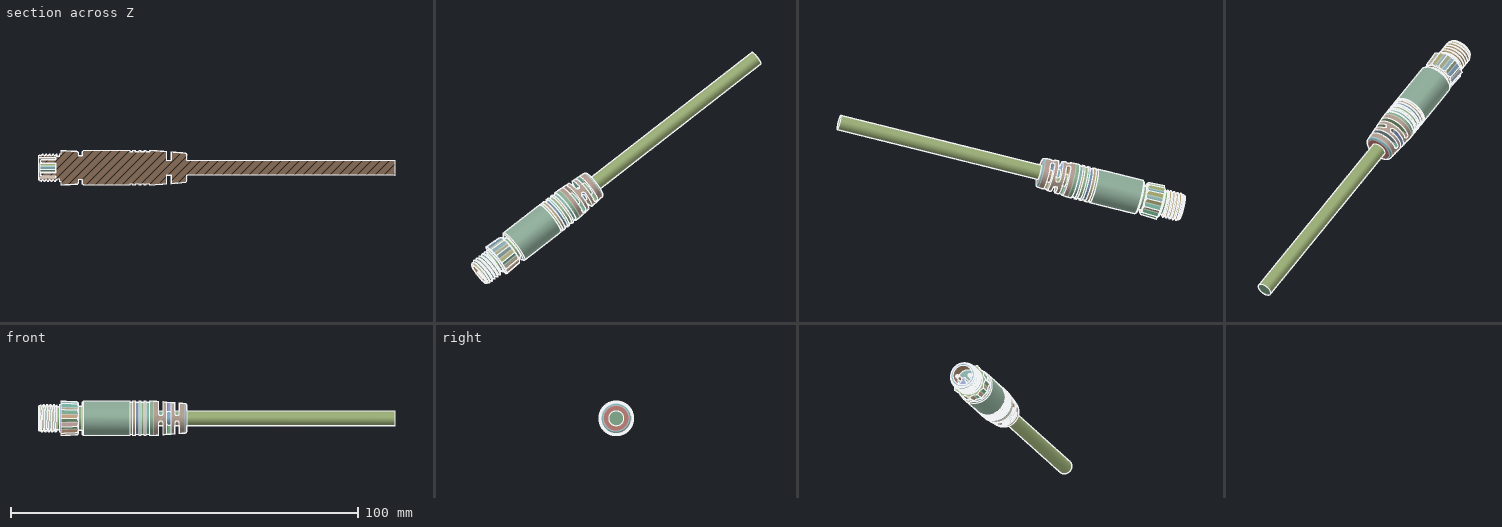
import cadquery as cq
import math

EPS = 0.5

total_length = 102.7
cable_radius = 2.15

thread_radius = 4.0
thread_pitch = 1.0
thread_root_radius = 3.4
thread_groove_width = 0.88
groove_overshoot = 0.05
groove_start = -2.0
thread_end = 5.3
thread_start_angle = 180.0
tip_radius = 3.5
tip_chamfer_length = 1.0
relief_radius = 3.35
collar_start = 6.05

nut_start = 6.5
nut_end = 11.6
nut_chamfer_length = 0.6
nut_chamfer_depth = 0.7
nut_tip_radius = 5.0
nut_taper_angle = 2.5
nut_valley_radius = 4.5
nut_teeth = 12
neck_radius = 3.5

grip_start = 12.6
grip_radius = 5.0
grip_chamfer = 0.4
step_start = 26.4
step_end = 27.05
step_depth = 0.3
first_groove_start = 27.95
groove_pitch = 1.55
groove_count = 3
groove_width = 0.95
groove_depth = 0.3
taper_start = 33.2
grip_end = 42.75
grip_end_radius = 4.25
grip_end_fillet = 0.6

slot_width = 1.25
slot_first_centre = 35.25
slot_pitch = 2.33
slot_count = 3
slot_floor = 0.77

socket_radius = 2.9
socket_depth = 5.0
pin_radius = 0.5
pin_offset = 1.85
pin_setback = 0.6
pin_chamfer = 0.25
key_half_width = 0.5
key_base_half_width = 1.7
key_setback = 0.5
key_top = -0.7
key_shoulder = -1.4
key_base = -3.3


def x_cylinder(radius, start, end):
    """Cylinder on the X axis between two X positions."""
    return cq.Workplane("YZ", origin=(start, 0, 0)).circle(radius).extrude(end - start)


def make_thread_groove():
    """Helical V groove from ahead of the tip into the relief behind the thread."""
    end = (thread_end + collar_start) / 2
    depth = thread_radius - thread_root_radius
    mouth_radius = thread_radius + groove_overshoot
    mouth_half_width = thread_groove_width / 2 * (depth + groove_overshoot) / depth
    helix = cq.Wire.makeHelix(thread_pitch, end - groove_start, thread_radius)
    groove = (
        cq.Workplane("XZ")
        .moveTo(thread_root_radius, 0)
        .lineTo(mouth_radius, mouth_half_width)
        .lineTo(mouth_radius, -mouth_half_width)
        .close()
        .sweep(cq.Workplane(helix), isFrenet=True)
    )
    return (
        groove.rotate((0, 0, 0), (0, 1, 0), 90)
        .rotate((0, 0, 0), (1, 0, 0), thread_start_angle)
        .translate((groove_start, 0, 0))
    )


def make_sleeve():
    """Threaded length with a chamfered lead-in, then the relief and a plain collar.

    The thread is cut in an over-long bar that holds the whole groove; the bar is then trimmed.
    """
    bar_start = groove_start - thread_pitch
    outside = thread_radius + EPS
    bar = x_cylinder(thread_radius, bar_start, nut_start).cut(make_thread_groove())
    lead_in_trim = (
        cq.Workplane("XY")
        .moveTo(bar_start - EPS, 0)
        .lineTo(0, 0)
        .lineTo(0, tip_radius)
        .lineTo(tip_chamfer_length, thread_radius)
        .lineTo(tip_chamfer_length, outside)
        .lineTo(bar_start - EPS, outside)
        .close()
        .revolve(360, (0, 0, 0), (1, 0, 0))
    )
    relief_trim = x_cylinder(outside, thread_end, collar_start).cut(
        x_cylinder(relief_radius, thread_end, collar_start)
    )
    return bar.cut(relief_trim).cut(lead_in_trim)


def make_nut():
    """Star-section nut that tapers slightly towards the grip and is chamfered at that end."""
    points = []
    for i in range(2 * nut_teeth):
        radius = nut_valley_radius if i % 2 else nut_tip_radius
        angle = math.pi * i / nut_teeth
        points.append((radius * math.cos(angle), radius * math.sin(angle)))
    length = nut_end - nut_start
    star = (
        cq.Workplane("YZ", origin=(nut_start, 0, 0))
        .polyline(points)
        .close()
        .extrude(length, taper=nut_taper_angle)
    )
    envelope = x_cylinder(nut_tip_radius, nut_start, nut_end).faces(">X").chamfer(
        nut_chamfer_length, nut_chamfer_depth
    )
    return star.intersect(envelope)


def make_grip():
    """Ribbed cylinder with a tapered, rounded tail."""
    profile = (
        cq.Workplane("XY")
        .moveTo(grip_start, 0)
        .lineTo(grip_start, grip_radius - grip_chamfer)
        .lineTo(grip_start + grip_chamfer, grip_radius)
        .lineTo(step_start, grip_radius)
        .lineTo(step_start, grip_radius - step_depth)
        .lineTo(step_end, grip_radius - step_depth)
        .lineTo(step_end, grip_radius)
    )
    for i in range(groove_count):
        start = first_groove_start + i * groove_pitch
        profile = (
            profile.lineTo(start, grip_radius)
            .lineTo(start, grip_radius - groove_depth)
            .lineTo(start + groove_width, grip_radius - groove_depth)
            .lineTo(start + groove_width, grip_radius)
        )
    grip = (
        profile.lineTo(taper_start, grip_radius)
        .lineTo(grip_end, grip_end_radius)
        .lineTo(grip_end, 0)
        .close()
        .revolve(360, (0, 0, 0), (1, 0, 0))
    )
    return grip.faces(">X").edges().fillet(grip_end_fillet)


def make_slot(centre):
    """Pair of round-bottomed slots cut from +Z and -Z, through the full width in Y."""
    height = grip_radius + EPS
    radius = slot_width / 2
    upper = (
        cq.Workplane("XZ", origin=(centre, 0, 0))
        .moveTo(-radius, height)
        .lineTo(-radius, slot_floor + radius)
        .threePointArc((0, slot_floor), (radius, slot_floor + radius))
        .lineTo(radius, height)
        .close()
        .extrude(height, both=True)
    )
    return upper.union(upper.mirror("XY"))


def cut_slots(grip):
    """Alternate the slot direction by a quarter turn."""
    for i in range(slot_count):
        slot = make_slot(slot_first_centre + i * slot_pitch)
        grip = grip.cut(slot.rotate((0, 0, 0), (1, 0, 0), 90 * (i % 2)))
    return grip


def make_socket():
    """Socket cavity: a bore less the key and the two contact pins."""
    bore = x_cylinder(socket_radius, -EPS, socket_depth)
    key = (
        cq.Workplane("YZ", origin=(key_setback, 0, 0))
        .moveTo(-key_half_width, key_top)
        .lineTo(key_half_width, key_top)
        .lineTo(key_half_width, key_shoulder)
        .lineTo(key_base_half_width, key_base)
        .lineTo(-key_base_half_width, key_base)
        .lineTo(-key_half_width, key_shoulder)
        .close()
        .extrude(socket_depth - key_setback)
    )
    pins = (
        cq.Workplane("YZ", origin=(pin_setback, 0, 0))
        .pushPoints([(-pin_offset, 0), (pin_offset, 0)])
        .circle(pin_radius)
        .extrude(socket_depth - pin_setback)
        .faces("<X")
        .chamfer(pin_chamfer)
    )
    return bore.cut(key).cut(pins)


neck = x_cylinder(neck_radius, nut_start, grip_start)
cable = x_cylinder(cable_radius, grip_start, total_length)
plug = make_sleeve().cut(make_socket())
result = plug.union(make_nut()).union(neck).union(cut_slots(make_grip())).union(cable)